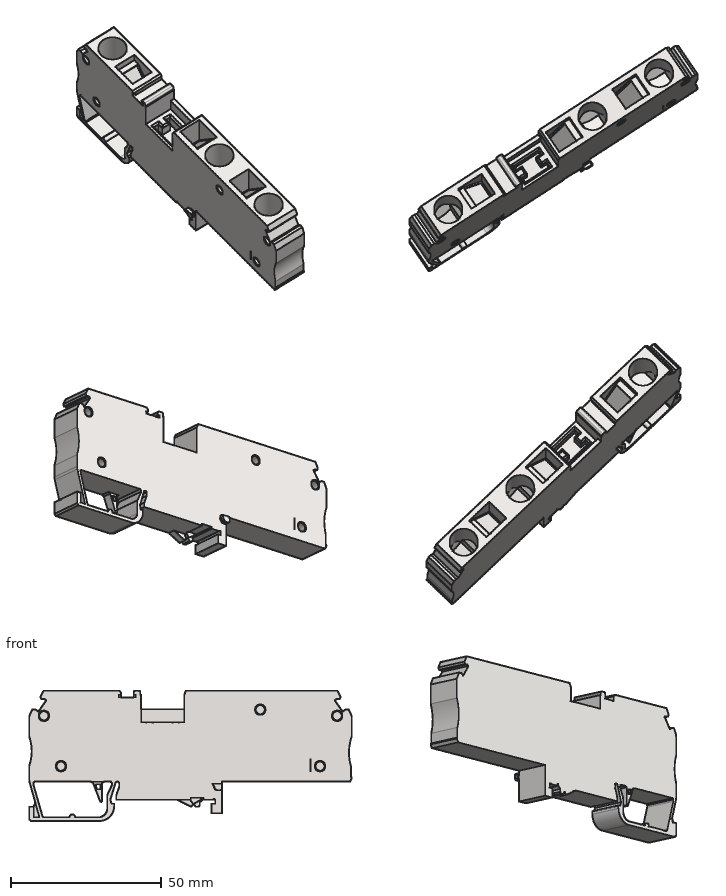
import cadquery as cq
import math


length = 107.6
thickness = 11.9
top_z = 43.5
belly_z = 13.1
base_z = 7.1
side_arc_bottom_z = 18.3
side_arc_top_z = 28.3
side_arc_depth = 0.9
right_arc_depth = 1.0
lower_right_inset = 0.3
side_arc_mid_z = (side_arc_bottom_z + side_arc_top_z) / 2

marker_left_x = 30.7
marker_right_x = 34.9
marker_floor_z = 41.2
marker_undercut = 0.8
marker_undercut_height = 0.9
marker_undercut_depth = 0.9
edge_chamfer = 0.6

recess_left_x = 37.3
recess_right_x = 51.6
recess_floor_z = 32.9
recess_back_wall_z = 37.3
recess_back_wall = 1.5
recess_lip_z = 42.1
rib_step = 0.2

socket_left_x = 39.0
socket_right_x = 50.0
socket_front_y = 1.0
socket_back_y = 9.0
socket_tab_length = 2.2
socket_tab_front_y = 4.2
socket_tab_back_y = 6.1
socket_depth = 4.3
socket_chamfer = 0.6

left_entry_x = 11.7
middle_entry_x = 69.4
right_entry_x = 96.0
entry_diameter = 9.5
entry_depth = 15.1
entry_floor_tilt = 11.0
funnel_inner_angle = 39.5
funnel_outer_angle = 75.0
funnel_back_angle = 50.0
funnel_inner_u = -2.6
funnel_kerb = 0.5
funnel_outer_u = 3.8
funnel_back_y = 8.1
funnel_front_y = 2.2
funnel_clear_y = 1.1

slot_offset = 11.3
slot_length = 9.4
slot_front_y = 1.9
slot_back_y = 10.0
slot_ledge_depth = 2.9
slot_ledge = 2.2
slot_ramp_angle = 48.0
slot_step_inset = 0.6
slot_step_drop = 0.2

pin_hole_diameter = 3.0
pin_hole_rim_diameter = 3.5
pin_hole_depth = 5.4
low_pin_z = 18.3
high_pin_z = 35.1
end_pin_inset = 5.0
pin_hole_centers = [
    (end_pin_inset, high_pin_z),
    (length - end_pin_inset, high_pin_z),
    (10.7, low_pin_z),
    (97.0, low_pin_z),
    (77.0, 37.1),
]
mark_x = 93.8
mark_z = 18.6
mark_height = 3.9
mark_width = 0.2

foot_floor_z = 1.3
leg_top_z = 14.1
hook_top_z = 4.8
hook_wall = 1.5
hook_web = 1.0
hook_web_z = 5.3
hook_web_tip_z = 6.0
ridge_x = 14.4
ridge_radius = 1.0
blade_front_y = 8.6

claw_left_x = 60.8
claw_right_x = 64.3
claw_bottom_z = 2.6
claw_top_z = 5.8
claw_throat_x = 62.0

latch_left_x = 53.9
latch_right_x = 58.1
latch_notch_z = 7.7
latch_bridge_front_y = 8.1
latch_nose_front_y = 8.6
latch_ramp_front_y = 9.1
latch_root_z = latch_notch_z + 1.1

stud_length = 1.8
stud_neck = 0.6
stud_root = 0.5


def plate(sketch, front_y, back_y):
    """Extrude a closed outline, drawn in X and Z, from front_y to back_y."""
    return sketch.extrude(front_y - back_y).translate((0, front_y, 0))


def outline(points):
    return cq.Workplane("XZ").polyline(points).close()


def box(x0, x1, y0, y1, z0, z1):
    return cq.Workplane("XY").box(x1 - x0, y1 - y0, z1 - z0, centered=False).translate((x0, y0, z0))


def drop(angle, run):
    """Height lost along a horizontal run at an angle from horizontal."""
    return run * math.tan(math.radians(angle))


end_profile = [
    (0, 34.9), (1.1, 37.2), (2.2, 37.2), (3.1, 36.5),
    (5.7, 40.2), (5.1, 40.7), (4.1, 40.7), (3.8, 41.4), (4.8, top_z),
]


def make_housing():
    right_end = [(length - x, z) for x, z in reversed(end_profile)]
    lower_right_x = length - lower_right_inset
    sketch = (
        cq.Workplane("XZ")
        .moveTo(0, leg_top_z)
        .lineTo(0, side_arc_bottom_z)
        .threePointArc((side_arc_depth, side_arc_mid_z), (0, side_arc_top_z))
    )
    for point in end_profile:
        sketch = sketch.lineTo(*point)
    round_run = edge_chamfer * (1 - math.sqrt(0.5))
    rib_left_x = marker_right_x
    rib_right_x = recess_left_x - rib_step
    sketch = (
        sketch
        .lineTo(marker_left_x - edge_chamfer, top_z)
        .lineTo(marker_left_x, top_z - edge_chamfer)
        .lineTo(marker_left_x, marker_floor_z)
        .lineTo(rib_left_x, marker_floor_z)
        .lineTo(rib_left_x, top_z - edge_chamfer)
        .threePointArc((rib_left_x + round_run, top_z - round_run), (rib_left_x + edge_chamfer, top_z))
        .lineTo(rib_right_x - edge_chamfer, top_z)
        .threePointArc((rib_right_x - round_run, top_z - round_run), (rib_right_x, top_z - edge_chamfer))
        .lineTo(rib_right_x, recess_lip_z)
        .lineTo(recess_left_x, recess_lip_z)
        .lineTo(recess_left_x, recess_floor_z)
        .lineTo(recess_right_x, recess_floor_z)
        .lineTo(recess_right_x, recess_lip_z)
        .lineTo(recess_right_x + edge_chamfer, top_z)
    )
    for point in right_end:
        sketch = sketch.lineTo(*point)
    sketch = (
        sketch
        .lineTo(length, side_arc_top_z)
        .threePointArc((length - right_arc_depth, side_arc_mid_z), (lower_right_x, side_arc_bottom_z))
        .lineTo(lower_right_x, belly_z + 1.6)
        .lineTo(length, belly_z + 1.2)
        .lineTo(length - edge_chamfer, belly_z)
        .lineTo(claw_right_x, belly_z)
        .lineTo(claw_right_x, claw_bottom_z)
        .lineTo(claw_left_x, claw_bottom_z)
        .lineTo(claw_left_x, claw_top_z)
        .lineTo(claw_throat_x, claw_top_z)
        .lineTo(claw_throat_x, base_z - 0.2)
        .threePointArc((claw_throat_x - 0.3, base_z + 0.2), (claw_throat_x - 0.6, base_z))
        .lineTo(29.0, base_z)
        .lineTo(29.0, 8.7)
        .lineTo(30.0, 11.4)
        .lineTo(30.0, 12.7)
        .threePointArc((29.5, belly_z), (28.8, 12.7))
        .lineTo(28.8, leg_top_z)
        .close()
    )
    housing = plate(sketch, 0, thickness)
    back_wall = box(
        recess_left_x, recess_right_x,
        thickness - recess_back_wall, thickness,
        recess_floor_z, recess_back_wall_z,
    )
    return housing.union(back_wall)


def make_spring_foot():
    """Loop below the left end: sloped leg, floor, curved spring arm and hook."""
    loop = (
        cq.Workplane("XZ")
        .moveTo(0, leg_top_z)
        .lineTo(0.1, belly_z)
        .lineTo(3.4, foot_floor_z)
        .lineTo(hook_wall, foot_floor_z)
        .lineTo(hook_wall, hook_top_z)
        .lineTo(0, hook_top_z)
        .lineTo(0, 0.6)
        .lineTo(0.6, 0)
        .lineTo(23.7, 0)
        .threePointArc((27.1, 1.6), (28.4, 4.8))
        .lineTo(28.4, 5.8)
        .lineTo(27.5, 5.8)
        .lineTo(27.1, base_z)
        .lineTo(28.8, 12.7)
        .lineTo(28.8, leg_top_z)
        .close()
    )
    opening = (
        cq.Workplane("XZ")
        .moveTo(1.8, belly_z)
        .lineTo(1.5, 12.7)
        .lineTo(1.5, 12.2)
        .lineTo(4.5, 1.6)
        .lineTo(4.8, foot_floor_z)
        .lineTo(ridge_x - ridge_radius, foot_floor_z)
        .threePointArc((ridge_x, foot_floor_z + ridge_radius), (ridge_x + ridge_radius, foot_floor_z))
        .lineTo(23.2, foot_floor_z)
        .threePointArc((25.2, 2.2), (26.0, 4.1))
        .lineTo(26.0, 8.7)
        .lineTo(27.8, 12.4)
        .lineTo(27.2, belly_z)
        .close()
    )
    foot = plate(loop, 0, thickness).cut(plate(opening, 0, thickness))
    web = outline([
        (hook_wall, foot_floor_z), (3.7, foot_floor_z),
        (2.4, hook_web_tip_z), (1.9, hook_web_tip_z), (1.8, hook_web_z), (hook_wall, hook_web_z),
    ])
    return foot.union(plate(web, thickness - hook_web, thickness))


def make_stop_blade():
    """Pointed blade hanging into the foot opening, near the back face."""
    blade = outline([
        (20.5, belly_z), (21.3, 12.7), (23.7, 6.6), (24.0, 6.3), (24.3, 6.7),
        (24.3, 12.7), (25.1, belly_z), (25.1, belly_z + 1.1), (20.5, belly_z + 1.1),
    ])
    window = outline([(22.4, 12.3), (22.4, 11.4), (22.7, 10.7), (23.7, 10.7), (23.7, 12.3)])
    return plate(blade, blade_front_y, thickness).cut(plate(window, blade_front_y, thickness))


def make_latch():
    """Three stepped layers of the latch, filling the back of its notch."""
    pivot = (54.8, 5.7)
    ramp = [
        (49.3, base_z), (54.0, 4.7), pivot, (latch_left_x, 6.7),
        (latch_left_x, latch_root_z), (49.3, latch_root_z),
    ]
    nose = [
        pivot, (55.5, 4.7), (56.5, 4.7), (56.9, 5.3), (56.9, 6.2), (57.9, base_z),
        (57.9, latch_root_z), (56.2, latch_root_z),
    ]
    bridge = [
        (latch_left_x, 6.7), pivot, (57.2, base_z),
        (57.5, latch_root_z), (latch_left_x, latch_root_z),
    ]
    latch = plate(outline(bridge), latch_bridge_front_y, thickness)
    latch = latch.union(plate(outline(nose), latch_nose_front_y, thickness))
    return latch.union(plate(outline(ramp), latch_ramp_front_y, thickness))


def make_stud():
    head = outline([
        (61.1, 12.4), (62.0, 10.5), (62.6, 10.2), (63.9, 10.2), (64.3, 10.8), (64.3, 12.0), (63.9, 12.5),
    ])
    neck = outline([(61.5, 11.8), (62.2, 10.7), (62.8, 10.3), (63.9, 10.3), (63.9, 11.8)])
    return plate(head, -stud_length, -stud_neck).union(plate(neck, -stud_neck, stud_root))


def entry_hole(center_x, side, front_y):
    """Round hole ending in a funnel whose floor starts at front_y.

    side is +1 when the floor leans to face +X, -1 when it leans to face -X.
    """
    radius = entry_diameter / 2
    reach = radius + 1.1
    floor_z = top_z - entry_depth
    inner_z = floor_z - drop(entry_floor_tilt, funnel_inner_u)
    outer_z = floor_z - drop(entry_floor_tilt, funnel_outer_u)
    kerb_u = funnel_inner_u - funnel_kerb
    kerb_z = inner_z + drop(funnel_outer_angle, funnel_kerb)
    along = [
        (funnel_inner_u, inner_z),
        (funnel_outer_u, outer_z),
        (reach, outer_z + drop(funnel_outer_angle, reach - funnel_outer_u)),
        (reach, top_z),
        (-reach, top_z),
        (-reach, kerb_z + drop(funnel_inner_angle, reach + kerb_u)),
        (kerb_u, kerb_z),
    ]
    along = [(center_x + side * u, z) for u, z in along]
    low_z = outer_z - 1.1
    front_z = floor_z + drop(funnel_outer_angle, front_y)
    back_z = floor_z + drop(funnel_back_angle, thickness - funnel_back_y)
    across = [
        (front_y, low_z), (funnel_back_y, low_z), (funnel_back_y, floor_z),
        (thickness, back_z), (thickness, top_z), (0, top_z),
        (0, front_z), (front_y, floor_z),
    ]
    hole = (
        cq.Workplane("XY", origin=(center_x, thickness / 2, low_z))
        .circle(radius)
        .extrude(top_z - low_z)
    )
    across_prism = (
        cq.Workplane("YZ", origin=(center_x - reach, 0, 0))
        .polyline(across).close()
        .extrude(2 * reach)
    )
    return hole.intersect(plate(outline(along), 0, thickness)).intersect(across_prism)


def release_slot(center_x, side):
    """Slot with a ledge next to the hole and a ramp falling away from it."""
    half = slot_length / 2
    ledge_z = top_z - slot_ledge_depth
    ramp_u = half - slot_ledge
    step_u = slot_step_inset - half

    def ramp_prism(start_u, lowering):
        ramp_bottom = ledge_z - drop(slot_ramp_angle, ramp_u - start_u) - lowering
        points = [(start_u, ramp_bottom), (ramp_u, ledge_z - lowering), (ramp_u, top_z), (start_u, top_z)]
        return outline([(center_x + side * u, z) for u, z in points])

    ledge_x = sorted(center_x + side * u for u in (ramp_u, half))
    slot = box(*ledge_x, slot_front_y, slot_back_y, ledge_z, top_z)
    slot = slot.union(plate(ramp_prism(-half, 0), slot_front_y, slot_back_y))
    step = plate(
        ramp_prism(step_u, slot_step_drop),
        slot_front_y + slot_step_inset / 2,
        slot_back_y - slot_step_inset,
    )
    return slot.union(step)


def jumper_socket():
    """H-shaped socket with a bevelled mouth."""
    left_tab_x = socket_left_x + socket_tab_length
    right_tab_x = socket_right_x - socket_tab_length
    points = [
        (socket_left_x, socket_front_y), (socket_right_x, socket_front_y),
        (socket_right_x, socket_tab_front_y), (right_tab_x, socket_tab_front_y),
        (right_tab_x, socket_tab_back_y), (socket_right_x, socket_tab_back_y),
        (socket_right_x, socket_back_y), (socket_left_x, socket_back_y),
        (socket_left_x, socket_tab_back_y), (left_tab_x, socket_tab_back_y),
        (left_tab_x, socket_tab_front_y), (socket_left_x, socket_tab_front_y),
    ]
    mouth = cq.Workplane("XY", origin=(0, 0, recess_floor_z)).polyline(points).close()
    bevel = mouth.extrude(-socket_chamfer, taper=45)
    shaft = (
        cq.Workplane("XY", origin=(0, 0, recess_floor_z))
        .polyline(points).close()
        .offset2D(-socket_chamfer, "intersection")
        .extrude(-socket_depth)
    )
    return bevel.union(shaft)


def pin_hole(x, z):
    rim = (pin_hole_rim_diameter - pin_hole_diameter) / 2
    hole = cq.Workplane("XZ", origin=(x, 0, z)).circle(pin_hole_diameter / 2).extrude(-pin_hole_depth)
    cone = cq.Workplane("XZ", origin=(x, 0, z)).circle(pin_hole_rim_diameter / 2).extrude(-rim, taper=45)
    return hole.union(cone)


def marker_undercuts():
    """Shallow front pockets that widen the marker gap at its floor."""
    return box(
        marker_left_x - marker_undercut, marker_right_x + marker_undercut,
        0, marker_undercut_depth,
        marker_floor_z, marker_floor_z + marker_undercut_height,
    )


housing = make_housing().union(make_spring_foot())
housing = housing.cut(box(latch_left_x, latch_right_x, 0, thickness, base_z, latch_notch_z))
housing = housing.union(make_latch()).union(make_stop_blade()).union(make_stud())

entries = [
    (left_entry_x, -1, funnel_clear_y),
    (middle_entry_x, 1, funnel_front_y),
    (right_entry_x, 1, funnel_front_y),
]
for entry_x, entry_side, floor_front_y in entries:
    housing = housing.cut(entry_hole(entry_x, entry_side, floor_front_y))
    housing = housing.cut(release_slot(entry_x - entry_side * slot_offset, entry_side))

for hole_x, hole_z in pin_hole_centers:
    housing = housing.cut(pin_hole(hole_x, hole_z))

housing = housing.cut(jumper_socket()).cut(marker_undercuts())
mark = box(
    mark_x - mark_width / 2, mark_x + mark_width / 2,
    0, mark_width,
    mark_z - mark_height / 2, mark_z + mark_height / 2,
)
result = housing.cut(mark)